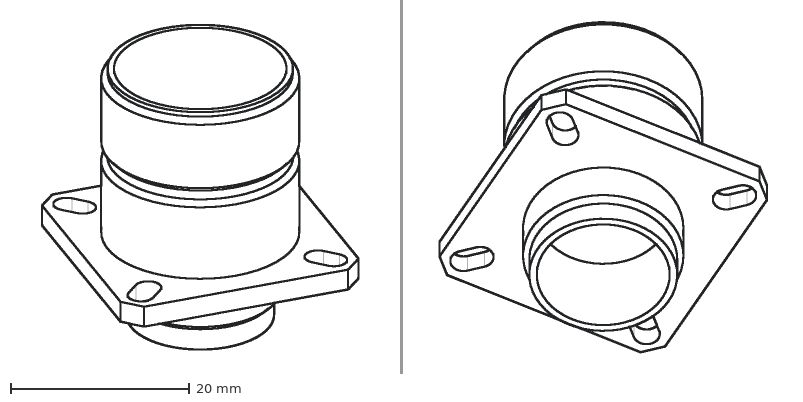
import cadquery as cq
import math

total_height = 31.33
flange_bottom = 8.0
flange_thickness = 2.55
flange_top = flange_bottom + flange_thickness

flange_width = 28.6
corner_chamfer = 2.05

barrel_radius = 11.12
lip_radius = 10.4
lip_height = 0.55
lip_bevel_height = 0.65
groove_radius = 10.45
groove_bottom = 19.6
groove_top = 22.05
groove_bevel_height = 0.65

spigot_radius = 9.0
spigot_tip_radius = 8.3
spigot_tip_height = 2.6
spigot_bevel_height = 0.65

bore_radius = 7.45
socket_radius = 9.68
socket_floor = flange_top

slot_width = 2.98
slot_length = 4.95
slot_offset = 10.9


def make_body():
    """Revolve the outer profile of the spigot, barrel, groove and lip."""
    lip_bottom = total_height - lip_height
    profile = [
        (0, 0),
        (spigot_tip_radius, 0),
        (spigot_tip_radius, spigot_tip_height),
        (spigot_radius, spigot_tip_height + spigot_bevel_height),
        (spigot_radius, flange_bottom),
        (barrel_radius, flange_bottom),
        (barrel_radius, groove_bottom),
        (groove_radius, groove_bottom + groove_bevel_height),
        (groove_radius, groove_top - groove_bevel_height),
        (barrel_radius, groove_top),
        (barrel_radius, lip_bottom - lip_bevel_height),
        (lip_radius, lip_bottom),
        (lip_radius, total_height),
        (0, total_height),
    ]
    return cq.Workplane("XZ").polyline(profile).close().revolve(360, (0, 0), (0, 1))


def make_flange():
    """Square plate with its four upright corners chamfered."""
    plate = cq.Workplane("XY").workplane(offset=flange_bottom)
    plate = plate.rect(flange_width, flange_width).extrude(flange_thickness)
    return plate.edges("|Z").chamfer(corner_chamfer)


def make_slots():
    """One slot on each diagonal, its long axis pointing at the part's axis."""
    slot_distance = slot_offset * math.sqrt(2)
    return (
        cq.Workplane("XY")
        .workplane(offset=flange_bottom)
        .polarArray(slot_distance, 45, 360, 4)
        .slot2D(slot_length, slot_width)
        .extrude(flange_thickness)
    )


def make_bore():
    """Through bore that widens into a socket open at the top."""
    bore = cq.Workplane("XY").circle(bore_radius).extrude(total_height)
    socket = cq.Workplane("XY").workplane(offset=socket_floor)
    socket = socket.circle(socket_radius).extrude(total_height - socket_floor)
    return bore.union(socket)


result = make_body().union(make_flange()).cut(make_slots()).cut(make_bore())